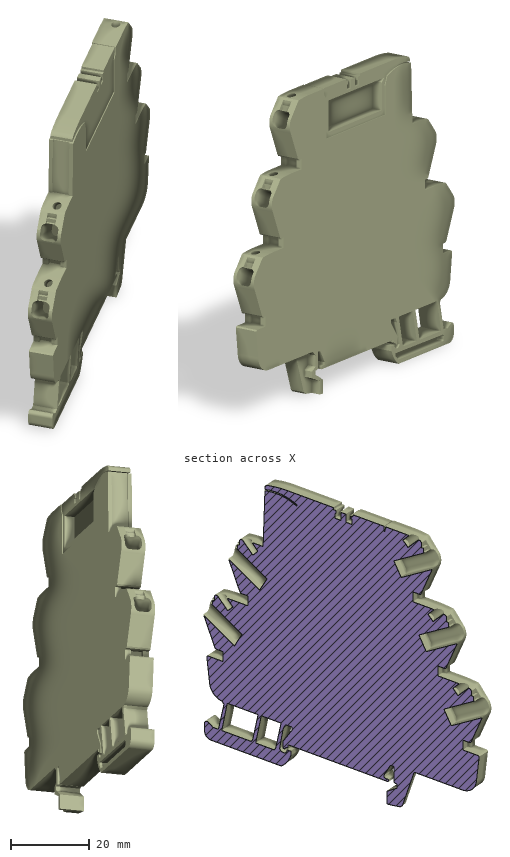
import cadquery as cq
import math

WIDTH = 6.4
LENGTH = 89.37
HEIGHT = 81.45
HALF_WIDTH = WIDTH / 2
HALF_LENGTH = LENGTH / 2
OVERLAP = 0.5

TIER_SETBACK = 8.0
TIER_RISE = 19.0
BACK_TIERS = 3
FRONT_TIERS = 2
TIER_TOP = HEIGHT - (BACK_TIERS - 1) * TIER_RISE

LIP_START_Y = 35.95
LIP_MIDDLE_Y = 38.4
LIP_MIDDLE_DROP = 0.1
LIP_EDGE_Y = 40.7
LIP_DROP = 0.35
LIP_BEVEL = 0.4
TIP_EDGE_Y = 44.2
TIP_UPPER_DROP = 4.55
TIP_MIDDLE_DROP = 6.5
TIP_LOWER_DROP = 8.4
SLANT_END_Y = 41.0
SLANT_BEVEL = 0.35
SLANT_END_DROP = 16.25
NOTCH_Y = 39.45

BASE_TOP = TIER_TOP - TIER_RISE
BASE_TOP_Y = 43.6
BASE_BEVEL = 0.35
BASE_BOTTOM = 12.55
BASE_ARC_START = (42.75, 17.0)
BASE_ARC_MIDDLE = (41.5, 14.0)
BASE_ARC_END = (38.2, BASE_BOTTOM)

FRONT_WALL_FOOT = (-25.9, TIER_TOP + TIER_RISE)
FRONT_WALL_HEAD = (-25.3, 78.9)
FRONT_PANEL_WIDTH = 4.35
FRONT_PANEL_DEPTH = 0.3

CAP_INSET = 0.25
CAP_GAP = 0.25
CAP_BACK_Y = 13.5
CAP_FRONT_Y = -25.05
CAP_FRONT_TOP = 80.05
CAP_SEAT = 67.8
CAP_BACK_BEND = (13.4, 79.9)
CAP_BACK_SIDE = (12.3, 78.2)
CAP_FRONT_SIDE = (-13.8, 75.6)
CAP_ARC_START = (-14.7, 77.9)
CAP_ARC_MIDDLE = (-20.0, 79.35)
CAP_CROWN_START = (-18.3, HEIGHT)
CAP_CROWN_MIDDLE = (-21.0, 81.3)
CAP_CROWN_END = (-23.7, 80.9)
CAP_NOSE_MIDDLE = (-24.55, 80.6)

WINDOW_BACK_Y = 11.2
WINDOW_FRONT_Y = -12.6
WINDOW_BOTTOM = 69.25
WINDOW_TOP = 77.7
WINDOW_CORNER = 1.0
WINDOW_DEPTH = 3.0

LATCH_CENTRE_Y = 0.15
LATCH_HALF_LENGTH = 3.05
LATCH_STEP_Z = 80.85
LATCH_FLOOR_Z = 78.5
LATCH_LIP_Z = 79.85
LATCH_NECK_HALF = 2.25
LATCH_SLOT_HALF = 2.65
TONGUE_HALF_LENGTH = 0.9

TEST_HOLE_DIAMETER = 2.2
TEST_HOLE_OFFSET_X = 0.5
TEST_HOLE_Y = 38.85
TEST_HOLE_TILT = 45.0
TEST_HOLE_DEPTH = 4.0
WIRE_HOLE_WIDTH = 4.6
WIRE_HOLE_CORNER = 1.3
WIRE_HOLE_Y = 43.9
WIRE_HOLE_DROP = 5.15
WIRE_HOLE_TILT = 30.0
WIRE_HOLE_DEPTH = 12.0
KEYWAY_WIDTH = 2.5
KEYWAY_START_Y = 41.2
KEYWAY_STEP_Y = 41.8
KEYWAY_UPPER_DROP = 2.2
KEYWAY_LOWER_DROP = 3.4
NOTCH_POCKET_WIDTH = 3.2
NOTCH_POCKET_DEPTH = 1.0

JOINT_Z = BASE_BOTTOM + OVERLAP

RAIL_FACE = 6.95
RAIL_BACK_HOOK = [(15.2, 12.0), (13.15, 8.5), (13.3, 7.85), (14.6, 7.7), (14.6, RAIL_FACE)]
RAIL_FRONT_HOOK = [
    (-16.35, 11.7),
    (-19.25, 7.5),
    (-19.25, 5.4),
    (-18.6, 5.4),
    (-18.2, 5.9),
    (-17.45, 6.2),
    (-17.45, RAIL_FACE),
]

CLIP_OUTER_EDGE = [(17.2, 11.3), (17.2, 8.3), (18.75, 7.35), (18.75, 5.55), (15.25, 4.0), (15.4, 0.45)]
CLIP_INNER_EDGE = [
    (14.0, 0.3),
    (14.0, 4.1),
    (16.15, 5.5),
    (17.2, 6.05),
    (17.2, 7.2),
    (16.15, 7.4),
    (16.15, 12.0),
]
CLIP_ROOT_INNER = (15.0, 12.0)
CLIP_ROOT_OUTER_Y = 18.5
CLIP_WEB_OUTER_EDGE = [(22.8, BASE_BOTTOM), (19.05, 1.55), (18.3, 0.9)]
CLIP_WEB_THICKNESS = 4.0

FOOT_TOP = 4.1
FOOT_LIP_TOP = 5.2
FOOT_FRONT_Y = -44.3
RIB_BACK_Y = -18.3
RIB_FRONT_Y = -38.1
RIB_LEAN = 1.75
RIB_BEVEL = 0.45
RIB_WINDOWS = ((-19.85, -26.05), (-27.2, -36.9))
FOOT_SLOT_DEPTH = 2.0
FOOT_SLOT_OUTLINE = [
    (-18.3, 3.15),
    (-39.4, 2.95),
    (-39.85, 2.5),
    (-39.85, 1.55),
    (-39.5, 1.15),
    (-19.5, 1.15),
    (-18.3, 2.5),
]


def prism(outline, x_start, thickness):
    """Extrude a closed YZ sketch along +X from x_start."""
    return outline.close().extrude(thickness).translate((x_start, 0, 0))


def polygon(points, x_start=-HALF_WIDTH, thickness=WIDTH):
    return prism(cq.Workplane("YZ").polyline(points), x_start, thickness)


def tier_point(side, level, y, drop):
    """Place a tier point on the +Y (side 1) or -Y (side -1) end."""
    return (side * (y - level * TIER_SETBACK), TIER_TOP + level * TIER_RISE - drop)


def add_tier(sketch, side, level, downwards):
    """Continue the outline along one tier, between shoulder and notch."""
    def at(y, drop):
        return tier_point(side, level, y, drop)

    lip_start = at(LIP_START_Y, 0)
    lip_middle = at(LIP_MIDDLE_Y, LIP_MIDDLE_DROP)
    lip_edge = at(LIP_EDGE_Y, LIP_DROP)
    slope_start = at(LIP_EDGE_Y + LIP_BEVEL, LIP_DROP + LIP_BEVEL)
    tip_upper = at(TIP_EDGE_Y, TIP_UPPER_DROP)
    tip_middle = at(HALF_LENGTH, TIP_MIDDLE_DROP)
    tip_lower = at(TIP_EDGE_Y, TIP_LOWER_DROP)
    slant_end = at(SLANT_END_Y, SLANT_END_DROP - SLANT_BEVEL)
    slant_bevel_end = at(SLANT_END_Y - SLANT_BEVEL, SLANT_END_DROP)
    notch_top = at(NOTCH_Y, SLANT_END_DROP)
    notch_bottom = at(NOTCH_Y, TIER_RISE)
    if downwards:
        sketch = sketch.lineTo(*lip_start).threePointArc(lip_middle, lip_edge)
        sketch = sketch.lineTo(*slope_start).lineTo(*tip_upper).threePointArc(tip_middle, tip_lower)
        sketch = sketch.lineTo(*slant_end).lineTo(*slant_bevel_end)
        return sketch.lineTo(*notch_top).lineTo(*notch_bottom)
    sketch = sketch.lineTo(*notch_bottom).lineTo(*notch_top)
    sketch = sketch.lineTo(*slant_bevel_end).lineTo(*slant_end)
    sketch = sketch.lineTo(*tip_lower).threePointArc(tip_middle, tip_upper).lineTo(*slope_start)
    return sketch.lineTo(*lip_edge).threePointArc(lip_middle, lip_start)


def mirrored(point):
    """Reflect a YZ point to the opposite end."""
    return (-point[0], point[1])


def housing():
    """Main body, open at the top where the cap is seated."""
    sketch = cq.Workplane("YZ").moveTo(CAP_BACK_Y, HEIGHT)
    for level in reversed(range(BACK_TIERS)):
        sketch = add_tier(sketch, 1, level, True)
    bevel_top = (BASE_TOP_Y - BASE_BEVEL, BASE_TOP)
    bevel_bottom = (BASE_TOP_Y, BASE_TOP - BASE_BEVEL)
    sketch = sketch.lineTo(*bevel_top).lineTo(*bevel_bottom).lineTo(*BASE_ARC_START)
    sketch = sketch.threePointArc(BASE_ARC_MIDDLE, BASE_ARC_END)
    sketch = sketch.lineTo(*mirrored(BASE_ARC_END))
    sketch = sketch.threePointArc(mirrored(BASE_ARC_MIDDLE), mirrored(BASE_ARC_START))
    sketch = sketch.lineTo(*mirrored(bevel_bottom)).lineTo(*mirrored(bevel_top))
    for level in range(FRONT_TIERS):
        sketch = add_tier(sketch, -1, level, False)
    sketch = sketch.lineTo(*FRONT_WALL_FOOT).lineTo(*FRONT_WALL_HEAD)
    return prism(cap_edge(sketch), -HALF_WIDTH, WIDTH)


def cap_edge(sketch):
    """Follow the seat of the cap from the front wall to the top of the housing."""
    sketch = sketch.threePointArc(CAP_ARC_MIDDLE, CAP_ARC_START).lineTo(*CAP_FRONT_SIDE)
    sketch = sketch.lineTo(CAP_FRONT_SIDE[0], CAP_SEAT).lineTo(CAP_BACK_SIDE[0], CAP_SEAT)
    return sketch.lineTo(*CAP_BACK_SIDE).lineTo(*CAP_BACK_BEND).lineTo(CAP_BACK_Y, HEIGHT)


def cap():
    """Cap with a rounded front crown, a recessed window and latch slots."""
    sketch = cq.Workplane("YZ").moveTo(CAP_FRONT_Y, CAP_FRONT_TOP)
    sketch = sketch.lineTo(CAP_FRONT_Y, FRONT_WALL_HEAD[1])
    sketch = cap_edge(sketch).lineTo(*CAP_CROWN_START)
    sketch = sketch.threePointArc(CAP_CROWN_MIDDLE, CAP_CROWN_END)
    sketch = sketch.threePointArc(CAP_NOSE_MIDDLE, (CAP_FRONT_Y, CAP_FRONT_TOP))
    body = prism(sketch, CAP_INSET - HALF_WIDTH, WIDTH - 2 * CAP_INSET)
    return body.cut(cap_window()).cut(latch_slots())


def cap_window():
    return polygon(
        [
            (WINDOW_BACK_Y, WINDOW_TOP),
            (WINDOW_BACK_Y, WINDOW_BOTTOM),
            (WINDOW_FRONT_Y, WINDOW_BOTTOM),
            (WINDOW_FRONT_Y, WINDOW_TOP - WINDOW_CORNER),
            (WINDOW_FRONT_Y - WINDOW_CORNER, WINDOW_TOP),
        ],
        thickness=WINDOW_DEPTH,
    )


def latch_slots():
    half = [
        (TONGUE_HALF_LENGTH, LATCH_STEP_Z),
        (TONGUE_HALF_LENGTH, LATCH_FLOOR_Z),
        (LATCH_SLOT_HALF, LATCH_FLOOR_Z),
        (LATCH_SLOT_HALF, LATCH_LIP_Z),
        (LATCH_NECK_HALF, LATCH_LIP_Z),
        (LATCH_NECK_HALF, LATCH_STEP_Z),
        (LATCH_HALF_LENGTH, LATCH_STEP_Z),
        (LATCH_HALF_LENGTH, HEIGHT + OVERLAP),
    ]
    slots = polygon(half + [mirrored(point) for point in reversed(half)])
    return slots.translate((0, LATCH_CENTRE_Y, 0))


def raised(point):
    """Move a point of the joint up by the width of the gap."""
    return (point[0], point[1] + CAP_GAP)


def cap_gaps():
    """Narrow open joints between cap and housing at the back and the front."""
    back = polygon(
        [
            (CAP_BACK_Y, HEIGHT + OVERLAP),
            CAP_BACK_BEND,
            (CAP_BACK_BEND[0] - CAP_GAP, CAP_BACK_BEND[1]),
            (CAP_BACK_Y - CAP_GAP, HEIGHT + OVERLAP),
        ]
    )
    wall_start = (CAP_FRONT_Y - OVERLAP, FRONT_WALL_HEAD[1])
    front = (
        cq.Workplane("YZ")
        .moveTo(*wall_start)
        .lineTo(*FRONT_WALL_HEAD)
        .threePointArc(CAP_ARC_MIDDLE, CAP_ARC_START)
        .lineTo(*raised(CAP_ARC_START))
        .threePointArc(raised(CAP_ARC_MIDDLE), raised(FRONT_WALL_HEAD))
        .lineTo(*raised(wall_start))
    )
    return back.union(prism(front, -HALF_WIDTH, WIDTH))


def front_panel():
    """Shallow recess down the middle of the front wall."""
    foot_y, foot_z = FRONT_WALL_FOOT
    head_y, head_z = FRONT_WALL_HEAD
    return polygon(
        [
            (foot_y - OVERLAP, foot_z),
            (foot_y + FRONT_PANEL_DEPTH, foot_z),
            (head_y + FRONT_PANEL_DEPTH, head_z + OVERLAP),
            (head_y - OVERLAP, head_z + OVERLAP),
        ],
        -FRONT_PANEL_WIDTH / 2,
        FRONT_PANEL_WIDTH,
    )


def tilted_plane(x, y, z, elevation):
    """Plane whose normal points to +Y, raised by the elevation angle."""
    angle = math.radians(elevation)
    return cq.Plane((x, y, z), (1, 0, 0), (0, math.cos(angle), math.sin(angle)))


def terminal_openings():
    """Test hole, keyway, wire hole and notch pocket of the lowest +Y tier."""
    test_plane = tilted_plane(TEST_HOLE_OFFSET_X, TEST_HOLE_Y, TIER_TOP, TEST_HOLE_TILT)
    test_hole = (
        cq.Workplane(test_plane)
        .workplane(offset=TEST_HOLE_DIAMETER)
        .circle(TEST_HOLE_DIAMETER / 2)
        .extrude(-TEST_HOLE_DIAMETER - TEST_HOLE_DEPTH)
    )
    wire_plane = tilted_plane(0, WIRE_HOLE_Y, TIER_TOP - WIRE_HOLE_DROP, WIRE_HOLE_TILT)
    wire_hole = (
        cq.Workplane(wire_plane)
        .workplane(offset=WIRE_HOLE_WIDTH)
        .sketch()
        .rect(WIRE_HOLE_WIDTH, WIRE_HOLE_WIDTH)
        .vertices()
        .fillet(WIRE_HOLE_CORNER)
        .finalize()
        .extrude(-WIRE_HOLE_WIDTH - WIRE_HOLE_DEPTH)
    )
    keyway = polygon(
        [
            (KEYWAY_START_Y, TIER_TOP),
            (KEYWAY_START_Y, TIER_TOP - KEYWAY_UPPER_DROP),
            (KEYWAY_STEP_Y, TIER_TOP - KEYWAY_UPPER_DROP),
            (KEYWAY_STEP_Y, TIER_TOP - KEYWAY_LOWER_DROP),
            (TIP_EDGE_Y, TIER_TOP - KEYWAY_LOWER_DROP),
        ],
        -KEYWAY_WIDTH / 2,
        KEYWAY_WIDTH,
    )
    notch_height = TIER_RISE - SLANT_END_DROP
    notch_pocket = cq.Workplane("XY").box(
        NOTCH_POCKET_WIDTH, 2 * NOTCH_POCKET_DEPTH, notch_height
    ).translate((0, NOTCH_Y, BASE_TOP + notch_height / 2))
    return test_hole.union(wire_hole).union(keyway).union(notch_pocket)


def rail_block():
    """Block that rests on the rail, hooked at both ends."""
    back_root = (RAIL_BACK_HOOK[0][0], JOINT_Z)
    front_root = (RAIL_FRONT_HOOK[0][0], JOINT_Z)
    return polygon([back_root] + RAIL_BACK_HOOK + RAIL_FRONT_HOOK[::-1] + [front_root])


def back_clip():
    """Bent spring strip with a stiffening web on its +X side."""
    root = [
        CLIP_ROOT_INNER,
        (CLIP_ROOT_INNER[0], JOINT_Z),
        (CLIP_ROOT_OUTER_Y, JOINT_Z),
        (CLIP_ROOT_OUTER_Y, BASE_BOTTOM),
    ]
    strip = polygon(root + CLIP_OUTER_EDGE + CLIP_INNER_EDGE)
    web_start = (CLIP_WEB_OUTER_EDGE[0][0], JOINT_Z)
    web_end = (CLIP_OUTER_EDGE[0][0], JOINT_Z)
    web = polygon(
        [web_start] + CLIP_WEB_OUTER_EDGE + CLIP_OUTER_EDGE[::-1] + [web_end],
        HALF_WIDTH - CLIP_WEB_THICKNESS,
        CLIP_WEB_THICKNESS,
    )
    return strip.union(web)


def front_foot():
    """Release foot hung on three leaning ribs."""
    foot = (
        cq.Workplane("YZ")
        .moveTo(RIB_BACK_Y, JOINT_Z)
        .lineTo(RIB_BACK_Y, BASE_BOTTOM)
        .lineTo(-19.05, 11.2)
        .lineTo(-20.15, 5.1)
        .threePointArc((-19.2, 4.3), (-18.1, 4.7))
        .lineTo(-17.8, 5.5)
        .lineTo(-16.6, 5.5)
        .lineTo(-16.6, FOOT_TOP)
        .threePointArc((-17.85, 1.8), (-19.7, 0))
        .lineTo(-42.2, 0)
        .threePointArc((-43.65, 0.6), (FOOT_FRONT_Y, 1.9))
        .lineTo(FOOT_FRONT_Y, 4.25)
        .threePointArc((-44.0, 4.95), (-43.3, FOOT_LIP_TOP))
        .lineTo(-41.5, FOOT_TOP)
        .lineTo(RIB_FRONT_Y - RIB_LEAN, FOOT_TOP)
        .lineTo(RIB_FRONT_Y, 11.9)
        .lineTo(-38.6, BASE_BOTTOM)
        .lineTo(-38.0, JOINT_Z)
    )
    body = prism(foot, -HALF_WIDTH, WIDTH)
    for near_y, far_y in RIB_WINDOWS:
        body = body.cut(
            polygon(
                [
                    (near_y, BASE_BOTTOM),
                    (near_y - RIB_LEAN, FOOT_TOP + RIB_BEVEL),
                    (near_y - RIB_LEAN - RIB_BEVEL, FOOT_TOP),
                    (far_y - RIB_LEAN, FOOT_TOP),
                    (far_y, BASE_BOTTOM),
                ]
            )
        )
    return body.cut(polygon(FOOT_SLOT_OUTLINE, thickness=FOOT_SLOT_DEPTH))


def build_part():
    """Join all bodies, then cut the openings of every tier."""
    part = housing().cut(front_panel()).union(cap()).cut(cap_gaps())
    part = part.union(rail_block()).union(back_clip()).union(front_foot())
    back_openings = terminal_openings()
    for level in range(BACK_TIERS):
        part = part.cut(back_openings.translate((0, -level * TIER_SETBACK, level * TIER_RISE)))
    front_openings = back_openings.mirror("XZ")
    for level in range(FRONT_TIERS):
        part = part.cut(front_openings.translate((0, level * TIER_SETBACK, level * TIER_RISE)))
    return part.solids()


result = build_part()